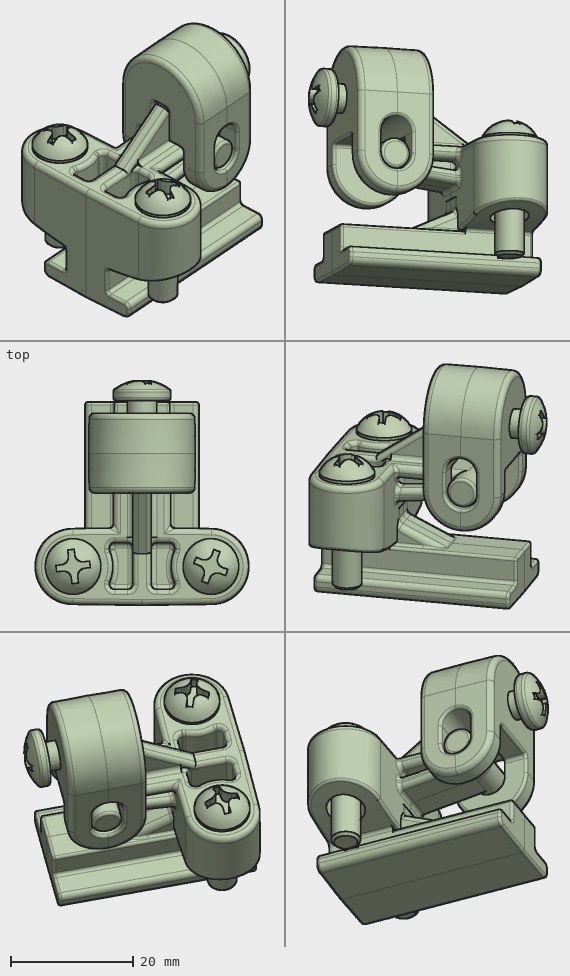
import cadquery as cq
import math

edge_round = 0.5
soft_round = 1.0
near = 0.05

shank_dia = 4.85
shank_length = 19.25
recess_arm_width = 1.05
recess_span = 5.55
recess_corner = 1.3
left_screw_turn = 7.5
right_screw_turn = -21.0

boss_radius = 6.2
boss_x = 11.28
housing_depth = 12.73
boss_y = housing_depth / 2
clearance_dia = 6.35
arch_low_z = 7.92
arch_radius = 52.2
arch_edge_z = 8.1
underside_limit_z = 9.35

rail_length = 33.3
flange_half = 9.35
flange_top = 3.2
flange_rise = 0.15
flange_bottom_round = 1.22
neck_half = 4.57
neck_inside_z = 13.7
rail_top = 7.7
rail_root_round = 0.6

pin_radius = 2.495
pin_y = 24.9
pin_z = 19.35
pin_half = 8.0
arm_half = 4.7
arm_web_half = 1.9
arm_root_round = 0.75
arm_root_reach = 4.57
bar_height = 2.25
bar_flat = 0.05
lower_bar_root = 2.48
lower_bar_tip = 2.05
lower_bar_round = 0.95
lower_bar_drop = 0.12
housing_top = pin_z + pin_radius

web_half = 1.52
web_round = 0.88
web_start_y = 8.45
web_peak_y = 18.6
web_end_y = 20.0
web_top = 28.85

gusset_half = 3.43
gusset_end_y = 20.95
gusset_round = 1.15
gusset_angle = 24.4

pocket_outer_x = 5.35
pocket_front_y = 2.63
pocket_back_y = 10.25
pocket_floor_z = 10.3
pocket_corner = 0.88
pocket_floor_round = 0.85
pocket_rim_round = 0.85
boss_wall_radius = 6.5

knuckle_half = 8.72
knuckle_depth = 13.1
knuckle_taper = 0.6
knuckle_top = 38.1
knuckle_center_z = knuckle_top - knuckle_half
slot_width = 5.25
slot_upper_z = 22.85
arm_slot_half = 4.88
arm_slot_top = 22.7
arm_slot_corner = 0.6
web_slot_half = 1.8
web_slot_top = 29.25
web_slot_corner = 0.85
web_slot_end_y = 21.35


def box(x0, x1, y0, y1, z0, z1):
    return cq.Workplane("XY").box(x1 - x0, y1 - y0, z1 - z0, centered=False).translate((x0, y0, z0))


def pick(body, test):
    """Selects the edges whose middle point passes the test."""
    return body.newObject([edge for edge in body.edges().vals() if test(edge.Center())])


def cross_recess(depth, angle):
    """Cross-shaped driver recess with hollow flanks, standing on Z = 0."""
    bar = cq.Workplane("XY").rect(recess_span, recess_arm_width).extrude(depth)
    cross = bar.union(bar.rotate((0, 0, 0), (0, 0, 1), 90))
    reach = recess_arm_width
    inner = cq.selectors.BoxSelector((-reach, -reach, -depth), (reach, reach, 2 * depth))
    cross = cross.edges("|Z").edges(inner).fillet(recess_corner)
    return cross.rotate((0, 0, 0), (0, 0, 1), angle)


def screw(head_profile, head_height, recess_depth, length, angle):
    """Screw along Z with its head seated on Z = 0."""
    head = head_profile.close().revolve(360, (0, 0, 0), (0, 1, 0))
    shank = cq.Workplane("XY").circle(shank_dia / 2).extrude(-length)
    shank = shank.faces("<Z").chamfer(edge_round)
    recess = cross_recess(recess_depth + 0.4, angle).translate((0, 0, head_height - recess_depth))
    return head.union(shank).cut(recess)


def dome_middle(rim_radius, dome_height):
    """Radius and height of a point half way along a spherical dome."""
    ball = (rim_radius ** 2 + dome_height ** 2) / (2 * dome_height)
    half_angle = math.asin(rim_radius / ball) / 2
    return ball * math.sin(half_angle), dome_height - ball * (1 - math.cos(half_angle))


def clamp_screw(side, angle):
    """Upright screw through one boss of the housing."""
    head_radius = 9.1 / 2
    band = 0.5
    dome = 2.82
    recess_depth = 2.75
    mid_r, mid_z = dome_middle(head_radius, dome)
    profile = (
        cq.Workplane("XZ").lineTo(head_radius, 0).lineTo(head_radius, band)
        .threePointArc((mid_r, band + mid_z), (0, band + dome))
    )
    body = screw(profile, band + dome, recess_depth, shank_length, angle)
    return body.translate((side * boss_x, boss_y, housing_top))


def thumb_screw():
    """Adjusting screw lying along Y, its head behind the knuckle."""
    head_radius = 9.5 / 2
    lip = 0.57
    rim_top = 1.45
    shoulder_r = 4.5
    shoulder_z = 1.9
    shoulder_bulge_r = 0.08
    shoulder_bulge_z = 0.25
    dome = 1.5
    recess_depth = 1.52
    seat_y = 33.5
    angle = 22
    diagonal = math.sqrt(0.5)
    mid_r, mid_z = dome_middle(shoulder_r, dome)
    profile = (
        cq.Workplane("XZ").lineTo(head_radius - lip, 0)
        .threePointArc((head_radius - lip + lip * diagonal, lip - lip * diagonal), (head_radius, lip))
        .lineTo(head_radius, rim_top)
        .threePointArc((head_radius - shoulder_bulge_r, rim_top + shoulder_bulge_z), (shoulder_r, shoulder_z))
        .threePointArc((mid_r, shoulder_z + mid_z), (0, shoulder_z + dome))
    )
    body = screw(profile, shoulder_z + dome, recess_depth, seat_y - web_end_y, angle)
    return body.rotate((0, 0, 0), (1, 0, 0), -90).translate((0, seat_y, knuckle_center_z))


def housing_plan():
    """Plan outline: two boss circles joined by faces that peak at X = 0."""
    lean = math.atan2(boss_y, boss_x) - math.asin(boss_radius / math.hypot(boss_x, boss_y))
    joint_x = boss_x + boss_radius * math.sin(lean)
    joint_y = boss_radius * math.cos(lean)
    tip = boss_x + boss_radius
    return (
        cq.Workplane("XY").moveTo(0, 0).lineTo(joint_x, boss_y - joint_y)
        .threePointArc((tip, boss_y), (joint_x, boss_y + joint_y))
        .lineTo(0, housing_depth).lineTo(-joint_x, boss_y + joint_y)
        .threePointArc((-tip, boss_y), (-joint_x, boss_y - joint_y)).close()
    )


def housing():
    """Crowned block with a rounded top and an arched underside."""
    block = housing_plan().extrude(housing_top)
    arch = (
        cq.Workplane("XZ").center(0, arch_low_z + arch_radius).circle(arch_radius)
        .extrude(-2 * housing_depth).translate((0, -boss_y, 0))
    )
    block = block.intersect(arch)
    return block.faces(">Z").edges().fillet(soft_round)


def long_edge(x, z):
    """Selects the edges that run along Y at the given X and Z."""
    return cq.selectors.BoxSelector((x - near, -near, z - near), (x + near, rail_length + near, z + near))


def rail():
    """T-shaped rail along Y; its front follows the crowned housing face."""
    body = (
        cq.Workplane("XZ").moveTo(0, 0).lineTo(flange_half, flange_rise)
        .lineTo(flange_half, flange_top).lineTo(neck_half, flange_top)
        .lineTo(neck_half, neck_inside_z).lineTo(-neck_half, neck_inside_z)
        .lineTo(-neck_half, flange_top).lineTo(-flange_half, flange_top)
        .lineTo(-flange_half, flange_rise).close().extrude(-rail_length)
    )
    body = body.cut(box(-neck_half, neck_half, housing_depth - soft_round, rail_length, rail_top, neck_inside_z))
    front_limit = housing_plan().extrude(neck_inside_z)
    rear = box(-flange_half, flange_half, boss_y, rail_length, 0, neck_inside_z)
    body = body.intersect(front_limit.union(rear))
    for side in (-1, 1):
        tip_x = side * flange_half
        root_x = side * neck_half
        for x, z, radius in (
            (tip_x, flange_rise, flange_bottom_round),
            (tip_x, flange_top, soft_round),
            (root_x, flange_top, rail_root_round),
        ):
            body = body.edges(long_edge(x, z)).fillet(radius)
        body = body.edges(long_edge(root_x, rail_top)).fillet(edge_round)
    return body.faces(">Y").edges().fillet(edge_round)


def gusset():
    """Half of the sloping rib that curves from the rail up into the housing."""
    slope = math.tan(math.radians(gusset_angle))
    foot_z = rail_top + slope * (gusset_end_y - housing_depth)
    rib = (
        cq.Workplane("YZ").moveTo(gusset_end_y, rail_top).lineTo(housing_depth, foot_z)
        .lineTo(housing_depth, neck_inside_z).lineTo(boss_y, neck_inside_z)
        .lineTo(boss_y, flange_top).lineTo(gusset_end_y, flange_top).close().extrude(gusset_half)
    )
    rib = pick(rib, lambda p: abs(p.y - housing_depth) < near and abs(p.z - foot_z) < near).fillet(soft_round)
    return pick(rib, lambda p: p.x > gusset_half - near and p.y > housing_depth - near and p.z > rail_top + 0.4
                and p.y < gusset_end_y - near).fillet(gusset_round)


def arm():
    """Half of the tapered I-shaped arm that ends in the cross pin."""
    lower_slope = math.atan(lower_bar_drop)
    foot_y = pin_y - pin_radius * math.sin(lower_slope)
    foot_z = pin_z - pin_radius * math.cos(lower_slope)
    root_z = foot_z - lower_bar_drop * (foot_y - boss_y)
    upper = box(0, arm_half, boss_y, pin_y, housing_top - bar_height, housing_top)
    upper = upper.edges("|Y and >X").fillet((bar_height - bar_flat) / 2)
    lower = (
        cq.Workplane("YZ").moveTo(foot_y, foot_z).lineTo(boss_y, root_z)
        .lineTo(boss_y, root_z + lower_bar_root).lineTo(foot_y, foot_z + lower_bar_tip)
        .close().extrude(arm_half)
    )
    lower = lower.edges("(not (|X or |Z)) and >X").fillet(lower_bar_round)
    middle = (
        cq.Workplane("YZ").moveTo(foot_y, foot_z + edge_round).lineTo(boss_y, root_z + edge_round)
        .lineTo(boss_y, housing_top - edge_round).lineTo(foot_y, housing_top - edge_round)
        .close().extrude(arm_web_half)
    )
    pin = cq.Workplane("YZ").center(pin_y, pin_z).circle(pin_radius).extrude(pin_half)
    pin = pin.faces(">X").edges().fillet(edge_round)
    return upper.union(lower).union(middle).union(pin)


def web_root():
    """Concave blend between the upright web and the top of the arm."""
    outer_x = web_half + web_round
    upper_z = housing_top + web_round
    hollow = web_round * (1 - math.sqrt(0.5))
    start_y = pocket_back_y + web_round
    return (
        cq.Workplane("XZ").moveTo(web_half, housing_top).lineTo(outer_x, housing_top)
        .threePointArc((web_half + hollow, housing_top + hollow), (web_half, upper_z)).close()
        .extrude(start_y - web_end_y).translate((0, start_y, 0))
    )


def upright_web():
    """Sloping web on top of the arm, pushed by the thumb screw."""
    slope = (web_top - housing_top) / (web_peak_y - web_start_y)
    low_z = housing_top - bar_height / 2
    low_y = web_start_y - (housing_top - low_z) / slope
    plate = (
        cq.Workplane("YZ").moveTo(low_y, low_z).lineTo(web_peak_y, web_top)
        .lineTo(web_end_y, web_top).lineTo(web_end_y, low_z).close().extrude(web_half, both=True)
    )
    return pick(plate, lambda p: abs(p.x) > near and p.z > low_z + near and p.y < web_end_y - near).fillet(web_round)


def pocket():
    """Lightening pocket beside the middle wall, kept clear of the screw boss."""
    room = box(web_half, pocket_outer_x, pocket_front_y, pocket_back_y, pocket_floor_z, housing_top)
    boss = cq.Workplane("XY").center(boss_x, boss_y).circle(boss_wall_radius).extrude(housing_top)
    room = room.cut(boss).edges("|Z").fillet(pocket_corner)
    return room.faces("<Z").edges().fillet(pocket_floor_round)


def half_base():
    """The +X half of the clamp base without the upright web."""
    tip = boss_x + boss_radius
    half = housing().union(rail()).intersect(box(0, tip, 0, rail_length, 0, housing_top))

    half = pick(half, lambda p: abs(p.x - neck_half) < near and abs(p.z - arch_edge_z) < near).fillet(rail_root_round)
    front_y = flange_rise + near
    half = pick(half, lambda p: (p.y < front_y and p.z < underside_limit_z and p.x > near)
                or (arch_edge_z + near < p.z < housing_top / 2 and p.x > neck_half + near
                    and p.y > front_y)).fillet(edge_round)

    half = half.union(gusset())
    half = pick(half, lambda p: abs(p.z - rail_top) < near and p.y > housing_depth
                and abs(p.x - gusset_half) < 0.4).fillet(edge_round)

    half = half.union(arm())
    half = pick(half, lambda p: abs(p.y - housing_depth) < 3 * near
                and pin_z - arm_root_reach < p.z < housing_top - near
                and near < p.x < arm_half + near).fillet(arm_root_round)

    half = half.cut(pocket())
    half = pick(half, lambda p: abs(p.z - housing_top) < near and pocket_front_y - near < p.y < pocket_back_y + near
                and web_half - near < p.x < pocket_outer_x + near).fillet(pocket_rim_round)
    half = half.union(web_root())

    clearance = cq.Workplane("XY").center(boss_x, boss_y).circle(clearance_dia / 2)
    half = half.cut(clearance.extrude(housing_top).cut(box(0, tip, 0, rail_length, 0, flange_top)))
    shank_recess = cq.Workplane("XY", (boss_x, boss_y, housing_top - shank_length)).circle(shank_dia / 2)
    return half.cut(shank_recess.extrude(flange_top))


def clamp_base():
    """Both mirrored halves with the web in the middle."""
    half = half_base()
    return half.union(half.mirror("YZ")).union(upright_web())


def knuckle():
    """Arched block that swings on the pin, slotted for the arm, web and pin."""
    half_depth = knuckle_depth / 2
    low_z = pin_z - half_depth
    front_y = pin_y - half_depth
    rear_y = pin_y + half_depth

    halves = []
    for depth in (half_depth, -half_depth):
        halves.append(
            cq.Workplane("XZ").moveTo(-knuckle_half, low_z - soft_round).lineTo(-knuckle_half, knuckle_center_z)
            .threePointArc((0, knuckle_top), (knuckle_half, knuckle_center_z))
            .lineTo(knuckle_half, low_z - soft_round).close().extrude(depth, taper=knuckle_taper)
        )
    block = halves[0].union(halves[1]).translate((0, pin_y, 0))
    side_outline = (
        cq.Workplane("YZ").moveTo(front_y, knuckle_top).lineTo(front_y, pin_z)
        .threePointArc((pin_y, low_z), (rear_y, pin_z)).lineTo(rear_y, knuckle_top)
        .close().extrude(knuckle_half, both=True)
    )
    block = block.intersect(side_outline)
    block = pick(block, lambda p: abs(p.y - pin_y) > 0.4 or p.z < low_z + soft_round).fillet(soft_round)

    slot_start_y = web_end_y - knuckle_depth
    arm_slot = box(-arm_slot_half, arm_slot_half, slot_start_y, rear_y + 0.4, 0, arm_slot_top)
    arm_slot = arm_slot.edges("|Y and >Z").fillet(arm_slot_corner)
    web_slot = box(-web_slot_half, web_slot_half, slot_start_y, web_slot_end_y, 0, web_slot_top)
    web_slot = web_slot.edges("|Y and >Z").fillet(web_slot_corner)
    block = block.cut(arm_slot.union(web_slot))
    block = pick(block, lambda p: abs(p.y - front_y) < near and abs(p.x) < arm_slot_half + near
                 and pin_z + near < p.z < web_slot_top + near).fillet(edge_round)

    slot_length = slot_upper_z - pin_z + slot_width
    slot_middle_z = (slot_upper_z + pin_z) / 2
    pin_slot = (
        cq.Workplane("YZ").center(pin_y, slot_middle_z)
        .slot2D(slot_length, slot_width, 90).extrude(knuckle_half + 0.4, both=True)
    )
    block = block.cut(pin_slot)
    block = pick(block, lambda p: abs(p.x) > knuckle_half - 0.2 and near < abs(p.y - pin_y) < slot_width / 2 + near
                 and abs(p.z - slot_middle_z) < slot_length / 2).fillet(edge_round)

    screw_bore = (
        cq.Workplane("XZ").center(0, knuckle_center_z).circle(shank_dia / 2)
        .extrude(-knuckle_depth).translate((0, web_end_y, 0))
    )
    return block.cut(screw_bore)


clamp_screws = []
for screw_side, screw_turn in ((-1, left_screw_turn), (1, right_screw_turn)):
    clamp_screws.append(clamp_screw(screw_side, screw_turn).val())

result = cq.Compound.makeCompound([
    clamp_base().val(),
    knuckle().val(),
    thumb_screw().val(),
    *clamp_screws,
])